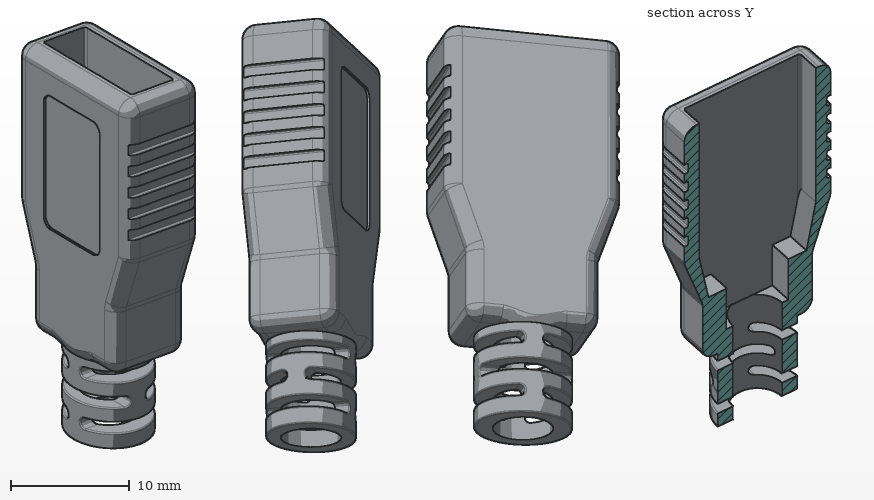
import cadquery as cq
import math

total_height = 34.8
head_width = 15.28
body_depth = 7.85
neck_width = 11.5
edge_radius = 1.3

body_bottom = 8.15
taper_bottom = 14.5
taper_top = 19.87
bend_radius = 1.32

cavity_width = 12.1
cavity_depth = 4.52
cavity_corner_radius = 0.25
cavity_floor_width = 10.15
cavity_floor = 14.95
pocket_width = 6.4
pocket_floor = 10.45
bore_diameter = 5.08

groove_count = 5
groove_height = 1.0
groove_pitch = 2.02
groove_depth = 0.4
groove_floor_radius = 0.122
groove_length = 7.3
top_groove_center = 30.45

label_width = 7.7
label_top = 31.5
label_bottom = 18.83
label_radius = 0.97
label_recess = 0.2

relief_width = 8.35
relief_depth = 7.5
relief_overlap = 0.35
relief_rim_radius = 0.122
slot_height = 1.0
slot_pitch = 2.4
slot_count = 3
lowest_slot_center = 2.02
web_width = 1.6

blend_sections = 9
blend_inset = 0.017
blend_half_depth = relief_depth / 2 - blend_inset
blend_top = body_bottom + 1.5 * edge_radius


def centered_box(width, depth, bottom, top):
    """Box centered on the Z axis between two heights."""
    return cq.Workplane("XY").workplane(offset=bottom).rect(width, depth).extrude(top - bottom)


def extruded_front_profile(points, depth):
    """Closed XZ outline extruded symmetrically along Y."""
    return cq.Workplane("XZ").polyline(points).close().extrude(depth / 2, both=True)


def mirrored_outline(right_side):
    """Complete an outline from its right-hand points, listed bottom to top."""
    return right_side + [(-x, z) for x, z in reversed(right_side)]


def make_body():
    outline = mirrored_outline([
        (neck_width / 2, body_bottom),
        (neck_width / 2, taper_bottom),
        (head_width / 2, taper_top),
        (head_width / 2, total_height),
    ])
    body = extruded_front_profile(outline, body_depth)
    body = body.edges("|Y and (not >Z) and (not <Z)").fillet(bend_radius)
    return body.edges("(not |Y) or >Z or <Z").fillet(edge_radius)


def blend_section(x):
    """Face normal to X: an arc tangent to the broad side that ends on the relief ellipse."""
    side = body_depth / 2
    ellipse_y = blend_half_depth * math.sqrt(1 - (2 * x / relief_width) ** 2)
    arc_center_y = side - edge_radius
    rise = math.sqrt(edge_radius**2 - (ellipse_y - arc_center_y) ** 2)
    arc_center_z = body_bottom + rise
    start_angle = math.atan2(-rise, ellipse_y - arc_center_y)
    arc_middle = (
        arc_center_y + edge_radius * math.cos(start_angle / 2),
        arc_center_z + edge_radius * math.sin(start_angle / 2),
    )
    inner_y = cavity_depth / 2
    return (
        cq.Workplane("YZ", origin=(x, 0, 0))
        .moveTo(inner_y, body_bottom)
        .lineTo(ellipse_y, body_bottom)
        .threePointArc(arc_middle, (side, arc_center_z))
        .lineTo(side, blend_top)
        .lineTo(inner_y, blend_top)
        .close()
        .wires()
        .val()
    )


def make_blend():
    """Fills the rounded bottom edge where the strain relief crosses it on the +Y side."""
    flat_edge_y = body_depth / 2 - edge_radius
    half_length = relief_width / 2 * math.sqrt(1 - (flat_edge_y / blend_half_depth) ** 2)
    step = 2 * half_length / (blend_sections - 1)
    sections = [blend_section(-half_length + i * step) for i in range(blend_sections)]
    return cq.Workplane(cq.Solid.makeLoft(sections))


def slot_pair(plane, center_z):
    """Two round-ended slots, open to the outside, leaving a web in the middle."""
    slot_length = relief_width
    offset = (web_width + slot_length) / 2
    return (
        cq.Workplane(plane)
        .pushPoints([(-offset, center_z), (offset, center_z)])
        .slot2D(slot_length, slot_height)
        .extrude(relief_width, both=True)
    )


def make_strain_relief():
    relief = (
        cq.Workplane("XY")
        .ellipse(relief_width / 2, relief_depth / 2)
        .extrude(body_bottom + relief_overlap)
    )
    for i in range(slot_count):
        plane = "XZ" if i % 2 == 0 else "YZ"
        relief = relief.cut(slot_pair(plane, lowest_slot_center + i * slot_pitch))
    return relief.edges("not (%LINE or >Z)").fillet(relief_rim_radius)


def make_cavity():
    outline = mirrored_outline([
        (cavity_floor_width / 2, cavity_floor),
        (cavity_width / 2, taper_top),
        (cavity_width / 2, total_height),
    ])
    rounded_prism = centered_box(cavity_width, cavity_depth, cavity_floor, total_height)
    rounded_prism = rounded_prism.edges("|Z").fillet(cavity_corner_radius)
    cavity = extruded_front_profile(outline, cavity_depth).intersect(rounded_prism)
    pocket = centered_box(pocket_width, cavity_depth, pocket_floor, cavity_floor)
    bore = cq.Workplane("XY").circle(bore_diameter / 2).extrude(pocket_floor)
    return cavity.union(pocket).union(bore)


def make_grooves():
    grooves = cq.Workplane("XY")
    for i in range(groove_count):
        center_z = top_groove_center - i * groove_pitch
        for side in (-1, 1):
            groove = cq.Workplane("XY").box(2 * groove_depth, groove_length, groove_height)
            groove = groove.edges("|Y").fillet(groove_floor_radius)
            grooves = grooves.add(groove.translate((side * head_width / 2, 0, center_z)))
    return grooves.combine()


def make_label_recess():
    center_z = (label_top + label_bottom) / 2
    recess = cq.Workplane("XY").box(label_width, 2 * label_recess, label_top - label_bottom)
    recess = recess.edges("|Y").fillet(label_radius)
    return recess.translate((0, -body_depth / 2, center_z))


blend = make_blend()
result = make_body().union(blend).union(blend.mirror("XZ")).union(make_strain_relief())
result = result.cut(make_cavity()).cut(make_grooves()).cut(make_label_recess()).solids()